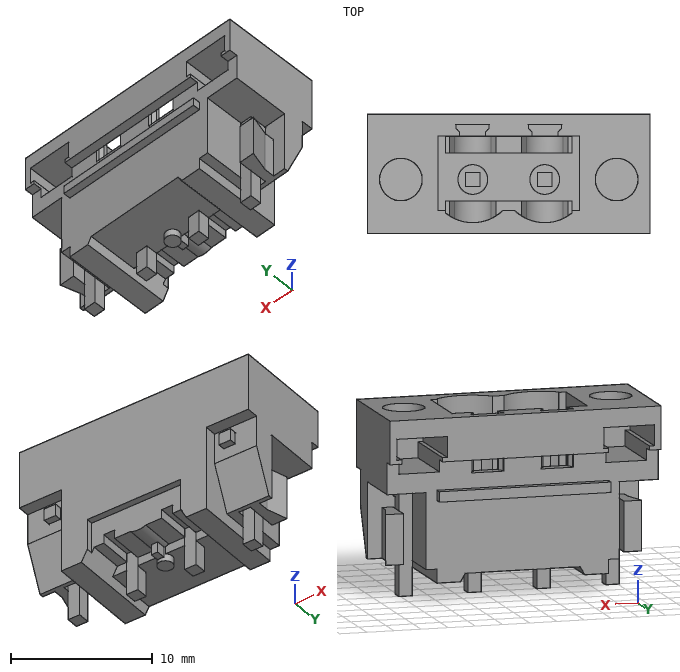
import cadquery as cq
import math


WIDTH = 19.96
HEIGHT = 12.0
BODY_DEPTH = 7.71
FLANGE_DEPTH = 8.43
FLANGE_BOTTOM = 8.86
CORE_HALF = 6.32

WING_BOTTOM = 1.02
WING_TOP = 7.14
WING_FRONT = 1.0
WING_SLOPE_TOP = 4.54
WING_SLOPE_BACK = 2.49
BAY_FRONT = 2.83
BAY_TOP = 6.57

PIN = 1.0
PIN_Y = 3.82
PIN_BOTTOM = -1.5
PIN_FRONT = PIN_Y - PIN / 2
PIN_BACK = PIN_Y + PIN / 2
POLES = (-2.54, 2.54)
CONTACT_TOP = 11.0
FIXING_X = 7.62
FIXING_TOP = 6.5
FIXING_TAB_Y = 0.43
BAY_INNER = FIXING_X - PIN / 2

RIB_TOP = 4.68
RIB_BACK = 5.44
RIB_BEND = 3.71
RIB_INNER = FIXING_X + PIN / 2
RIB_OUTER_FRONT = 8.92
RIB_OUTER_BACK = 9.43

SCREW_RADIUS = 1.5
SCREW_DEPTH = 1.33
NUT_SLOT_HALF = 1.86
NUT_SLOT_BOTTOM = 9.16
NUT_GROOVE_BOTTOM = 8.0

CAVITY_HALF = 4.98
CAVITY_FRONT = 1.63
CAVITY_BACK = 6.91
BAR_TOP = 5.0
LOBE_RADIUS = 3.05
WELL_HALF = 4.48
WELL_BOTTOM = 3.6
WELL_BACK = 6.86
BAR_FRONT = 2.30
BAR_BACK = 5.68
PIN_RECESS_RADIUS = 1.05
PIN_RECESS_DEPTH = 0.3

HUMP_HALF = 1.63
HUMP_ARC_HALF = 1.28
HUMP_RADIUS = 1.5

KEY_NECK_HALF = 0.92
KEY_HALF = 1.18
KEY_TAPER_START = 7.18
KEY_TAPER_END = 7.45
KEY_BOTTOM = 7.8
KEY_X = 2.56

ARCH_HALF = 4.57
ARCH_INSET_PER_HEIGHT = 0.556
ARCH_HEIGHT = 0.6
FRONT_ARCH_HEIGHT = 1.33
FRONT_RECESS_HALF = 4.05
FRONT_RECESS_TOP = 3.54
FRONT_RECESS_DEPTH = 0.53
BULGE_HALF = 0.66
BULGE_DROP = 0.15
NOTCH_INNER = 2.05
NOTCH_OUTER = 3.0
NOTCH_TOP = 2.07
PEG_RADIUS = 0.61
PEG_RIB_HALF = 0.275
PEG_RIB_FRONT = 2.5
PEG_RIB_BOTTOM = 0.3

RIDGE_BOTTOM = 5.95
RIDGE_TOP = 6.7
RIDGE_BACK = 8.32


def box(x0, x1, y0, y1, z0, z1):
    """Box between two limits on each axis."""
    return cq.Workplane("XY").box(x1 - x0, y1 - y0, z1 - z0, centered=False).translate((x0, y0, z0))


def cylinder(x, y, radius, z0, z1):
    """Upright cylinder."""
    return cq.Workplane("XY", origin=(x, y, z0)).circle(radius).extrude(z1 - z0)


def both_sides(shape):
    """A shape together with its mirror image across X = 0."""
    return shape.union(shape.mirror("YZ"))


def blank():
    """Wing section over the full width, with the deeper core added."""
    wing_outline = [
        (0, HEIGHT),
        (FLANGE_DEPTH, HEIGHT),
        (FLANGE_DEPTH, FLANGE_BOTTOM),
        (BODY_DEPTH, FLANGE_BOTTOM),
        (BODY_DEPTH, WING_BOTTOM),
        (WING_SLOPE_BACK, WING_BOTTOM),
        (WING_FRONT, WING_SLOPE_TOP),
        (WING_FRONT, WING_TOP),
        (0, WING_TOP),
    ]
    wings = cq.Workplane("YZ").polyline(wing_outline).close().extrude(WIDTH / 2, both=True)
    core = box(-CORE_HALF, CORE_HALF, 0, BODY_DEPTH, 0, HEIGHT)
    ridge = box(-CORE_HALF, CORE_HALF, BODY_DEPTH, RIDGE_BACK, RIDGE_BOTTOM, RIDGE_TOP)
    return wings.union(core).union(ridge)


def wing_bays():
    """Open spaces behind the wing walls, less the ribs standing in them."""
    bay = box(BAY_INNER, WIDTH / 2, BAY_FRONT, BODY_DEPTH, WING_BOTTOM, BAY_TOP)
    rib_outline = [
        (RIB_INNER, BAY_FRONT),
        (RIB_OUTER_FRONT, BAY_FRONT),
        (RIB_OUTER_FRONT, RIB_BEND),
        (RIB_OUTER_BACK, RIB_BACK),
        (RIB_INNER, RIB_BACK),
    ]
    rib_plane = cq.Workplane("XY", origin=(0, 0, WING_BOTTOM))
    rib = rib_plane.polyline(rib_outline).close().extrude(RIB_TOP - WING_BOTTOM)
    return both_sides(bay.cut(rib))


def screw_holes():
    """Round holes from the top, each opening into a stepped nut slot."""
    hole_bottom = HEIGHT - SCREW_DEPTH
    slot_front = PIN_Y - SCREW_RADIUS
    groove_x0 = FIXING_X - SCREW_RADIUS
    groove_x1 = FIXING_X + SCREW_RADIUS
    hole = cylinder(FIXING_X, PIN_Y, SCREW_RADIUS, hole_bottom, HEIGHT)
    slot = box(
        FIXING_X - NUT_SLOT_HALF, FIXING_X + NUT_SLOT_HALF,
        slot_front, FLANGE_DEPTH, NUT_SLOT_BOTTOM, hole_bottom,
    )
    groove = box(groove_x0, groove_x1, slot_front, FLANGE_DEPTH, NUT_GROOVE_BOTTOM, NUT_SLOT_BOTTOM)
    return both_sides(hole.union(slot).union(groove))


def hump(x):
    """Hump on the well floor: an arc running tangent into two sloped sides."""
    side_angle = math.asin(HUMP_ARC_HALF / HUMP_RADIUS)
    shoulder = WELL_BOTTOM + (HUMP_HALF - HUMP_ARC_HALF) * math.tan(side_angle)
    crest = shoulder + HUMP_RADIUS * (1 - math.cos(side_angle))
    outline = (
        cq.Workplane("XZ")
        .moveTo(x - HUMP_HALF, WELL_BOTTOM)
        .lineTo(x - HUMP_ARC_HALF, shoulder)
        .threePointArc((x, crest), (x + HUMP_ARC_HALF, shoulder))
        .lineTo(x + HUMP_HALF, WELL_BOTTOM)
        .close()
    )
    return outline.extrude(-BODY_DEPTH)


def plug_cavity():
    """Cavity with a round lobe per pole, and wells in front of and behind the bar."""
    cavity = box(-CAVITY_HALF, CAVITY_HALF, CAVITY_FRONT, CAVITY_BACK, BAR_TOP, HEIGHT)
    front_space = box(-WELL_HALF, WELL_HALF, 0, BAR_FRONT, WELL_BOTTOM, HEIGHT)
    well_front = box(-WELL_HALF, WELL_HALF, CAVITY_FRONT, BAR_FRONT, WELL_BOTTOM, BAR_TOP)
    wells = well_front.union(box(-WELL_HALF, WELL_HALF, BAR_BACK, WELL_BACK, WELL_BOTTOM, BAR_TOP))
    for x in POLES:
        lobe = cylinder(x, PIN_Y, LOBE_RADIUS, WELL_BOTTOM, HEIGHT)
        wells = wells.union(lobe.intersect(front_space))
    for x in POLES:
        wells = wells.cut(hump(x))
        cavity = cavity.union(cylinder(x, PIN_Y, PIN_RECESS_RADIUS, BAR_TOP - PIN_RECESS_DEPTH, BAR_TOP))
    return cavity.union(wells)


def keyways():
    """Dovetail keyways that break through the back below the flange."""
    half_outline = [
        (KEY_NECK_HALF, CAVITY_BACK),
        (KEY_NECK_HALF, KEY_TAPER_START),
        (KEY_HALF, KEY_TAPER_END),
        (KEY_HALF, BODY_DEPTH),
    ]
    outline = half_outline + [(-x, y) for x, y in reversed(half_outline)]
    key_plane = cq.Workplane("XY", origin=(KEY_X, 0, KEY_BOTTOM))
    return both_sides(key_plane.polyline(outline).close().extrude(HEIGHT - KEY_BOTTOM))


def arch(height, depth):
    """Trapezoidal space under the housing, from the front to a given depth."""
    top_half = ARCH_HALF - height * ARCH_INSET_PER_HEIGHT
    outline = [(-ARCH_HALF, 0), (ARCH_HALF, 0), (top_half, height), (-top_half, height)]
    return cq.Workplane("XZ").polyline(outline).close().extrude(-depth)


def underside_cuts():
    """Arch, front recess and the notches in front of the contact pins."""
    notch = box(NOTCH_INNER, NOTCH_OUTER, 0, PIN_FRONT, 0, NOTCH_TOP)
    recess = box(-FRONT_RECESS_HALF, FRONT_RECESS_HALF, 0, FRONT_RECESS_DEPTH, 0, FRONT_RECESS_TOP)
    return (
        arch(ARCH_HEIGHT, BODY_DEPTH)
        .union(arch(FRONT_ARCH_HEIGHT, PIN_FRONT))
        .union(recess)
        .union(both_sides(notch))
    )


def underside_details():
    """Shallow bulge, locating peg and the small rib in front of the peg."""
    bulge = (
        cq.Workplane("XZ", origin=(0, FRONT_RECESS_DEPTH, 0))
        .moveTo(-BULGE_HALF, FRONT_ARCH_HEIGHT)
        .threePointArc((0, FRONT_ARCH_HEIGHT - BULGE_DROP), (BULGE_HALF, FRONT_ARCH_HEIGHT))
        .close()
        .extrude(FRONT_RECESS_DEPTH - PIN_FRONT)
    )
    peg = cylinder(0, PIN_Y, PEG_RADIUS, 0, FRONT_ARCH_HEIGHT)
    rib = box(-PEG_RIB_HALF, PEG_RIB_HALF, PEG_RIB_FRONT, PIN_Y, PEG_RIB_BOTTOM, FRONT_ARCH_HEIGHT)
    return bulge.union(peg).union(rib)


def contact_pin(x):
    """Straight square pin of one pole."""
    return box(x - PIN / 2, x + PIN / 2, PIN_FRONT, PIN_BACK, PIN_BOTTOM, CONTACT_TOP)


def fixing_pin(x):
    """L-shaped square pin whose upper leg goes forward through the wing wall."""
    leg = box(x - PIN / 2, x + PIN / 2, PIN_FRONT, PIN_BACK, PIN_BOTTOM, FIXING_TOP)
    tab = box(x - PIN / 2, x + PIN / 2, FIXING_TAB_Y, PIN_BACK, FIXING_TOP - PIN, FIXING_TOP)
    return leg.union(tab)


contact_pins = [contact_pin(x) for x in POLES]
fixing_pins = [fixing_pin(x) for x in (-FIXING_X, FIXING_X)]
pins = contact_pins + fixing_pins

housing = blank()
for pocket in (wing_bays(), screw_holes(), plug_cavity(), keyways(), underside_cuts()):
    housing = housing.cut(pocket)
housing = housing.union(underside_details())
for pin in pins:
    housing = housing.cut(pin)

result = cq.Compound.makeCompound([body.solids().val() for body in [housing, *pins]])